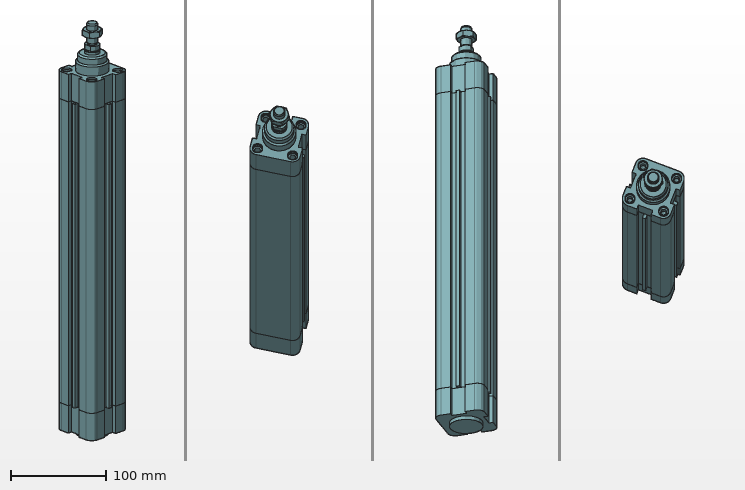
import cadquery as cq
import math

TOTAL_HEIGHT = 463.0
REAR_SPIGOT_HEIGHT = 4.0
REAR_COVER_TOP = 35.0
TUBE_TOP = 378.5
FRONT_COVER_TOP = 409.5

SECTION_WIDTH = 54.0
CORNER_RADIUS = 8.5
SLOT_WIDTH = 16.0
SLOT_DEPTH = 4.5
RIB_WIDTH = 3.5
SLOT_ANGLES = (-90, 0, 180)

SCREW_SPACING = 38.0
RECESS_DIAMETER = 10.5
RECESS_DEPTH = 2.0
RECESS_FLOOR_DIAMETER = 9.5
RECESS_FLOOR_DEPTH = 4.5
SCREW_HOLE_DIAMETER = 6.0
SCREW_HOLE_DEPTH = 14.0
DRILL_TIP_ANGLE = 118

COLLAR_DIAMETER = 35.0
COLLAR_STEP_DIAMETER = 31.0
COLLAR_STEP_Z = 419.5
COLLAR_CONE_HEIGHT = 1.5
COLLAR_TOP = 429.0
COLLAR_CHAMFER = 2.0

ROD_DIAMETER = 16.0
GROOVE_DIAMETER = 15.5
GROOVE_WIDTH = 1.5
ROD_SHOULDER_Z = 439.0
FLAT_BOTTOM_Z = 433.5
FLAT_WIDTH = 13.5
THREAD_DIAMETER = 12.0
NECK_DIAMETER = 10.0
NECK_LENGTH = 2.0
THREAD_CHAMFER = 1.0
THREAD_CHAMFER_HEIGHT = 2.0

NUT_BOTTOM = 448.5
NUT_HEIGHT = 7.0
NUT_ACROSS_FLATS = 19.0
NUT_ACROSS_CORNERS = NUT_ACROSS_FLATS * 2 / math.sqrt(3)
NUT_FACE_DIAMETER = NUT_ACROSS_FLATS
NUT_CHAMFER_ANGLE = 30


def cylinder(diameter, bottom, top):
    return cq.Workplane("XY").workplane(offset=bottom).circle(diameter / 2).extrude(top - bottom)


def revolved(profile):
    """Solid turned about Z from a closed outline of (radius, height) points."""
    return cq.Workplane("XZ").polyline(profile).close().revolve(360, (0, 0, 0), (0, 1, 0))


def bar_at_side(bottom, top, width, depth):
    """Upright bar lying just inside the +X side of the section."""
    return (
        cq.Workplane("XY")
        .workplane(offset=bottom)
        .center((SECTION_WIDTH - depth) / 2, 0)
        .rect(depth, width)
        .extrude(top - bottom)
    )


def turned(body, angle):
    return body.rotate((0, 0, 0), (0, 0, 1), angle)


def slotted_block(bottom, top):
    """Rounded square block with a full-length slot on three sides."""
    block = (
        cq.Workplane("XY")
        .workplane(offset=bottom)
        .rect(SECTION_WIDTH, SECTION_WIDTH)
        .extrude(top - bottom)
        .edges("|Z")
        .fillet(CORNER_RADIUS)
    )
    slot = bar_at_side(bottom, top, SLOT_WIDTH, SLOT_DEPTH)
    for angle in SLOT_ANGLES:
        block = block.cut(turned(slot, angle))
    return block


def make_tube():
    """Slotted profile with a rib along the middle of each slot."""
    tube = slotted_block(REAR_COVER_TOP, TUBE_TOP)
    rib = bar_at_side(REAR_COVER_TOP, TUBE_TOP, RIB_WIDTH, SLOT_DEPTH)
    for angle in SLOT_ANGLES:
        tube = tube.union(turned(rib, angle))
    return tube


def make_rear_cover():
    """Slotted block with a round spigot underneath."""
    return slotted_block(REAR_SPIGOT_HEIGHT, REAR_COVER_TOP).union(
        cylinder(COLLAR_DIAMETER, 0, REAR_SPIGOT_HEIGHT)
    )


def make_screw_recess():
    """Stepped recess and drilled hole with a conical tip, centred on Z."""
    hole_radius = SCREW_HOLE_DIAMETER / 2
    tip_length = hole_radius / math.tan(math.radians(DRILL_TIP_ANGLE / 2))
    hole_bottom = FRONT_COVER_TOP - SCREW_HOLE_DEPTH
    tip = revolved([
        (0, hole_bottom - tip_length),
        (hole_radius, hole_bottom),
        (0, hole_bottom),
    ])
    hole = cylinder(SCREW_HOLE_DIAMETER, hole_bottom, FRONT_COVER_TOP)
    floor = cylinder(RECESS_FLOOR_DIAMETER, FRONT_COVER_TOP - RECESS_FLOOR_DEPTH, FRONT_COVER_TOP)
    recess = cylinder(RECESS_DIAMETER, FRONT_COVER_TOP - RECESS_DEPTH, FRONT_COVER_TOP)
    return tip.union(hole).union(floor).union(recess)


def make_collar():
    """Two-step collar with a cone between the steps and a chamfered top edge."""
    radius = COLLAR_DIAMETER / 2
    step_radius = COLLAR_STEP_DIAMETER / 2
    return revolved([
        (0, FRONT_COVER_TOP),
        (radius, FRONT_COVER_TOP),
        (radius, COLLAR_STEP_Z),
        (step_radius, COLLAR_STEP_Z + COLLAR_CONE_HEIGHT),
        (step_radius, COLLAR_TOP - COLLAR_CHAMFER),
        (step_radius - COLLAR_CHAMFER, COLLAR_TOP),
        (0, COLLAR_TOP),
    ])


def make_front_cover():
    """Slotted block with a collar, four corner screw recesses and a rod bore."""
    cover = slotted_block(TUBE_TOP, FRONT_COVER_TOP).union(make_collar())
    recess = make_screw_recess()
    for x_side in (-1, 1):
        for y_side in (-1, 1):
            place = (x_side * SCREW_SPACING / 2, y_side * SCREW_SPACING / 2, 0)
            cover = cover.cut(recess.translate(place))
    return cover.cut(cylinder(ROD_DIAMETER, TUBE_TOP, COLLAR_TOP))


def make_rod():
    """Rod with a groove, two wrench flats, an undercut neck and a threaded end."""
    thread_bottom = ROD_SHOULDER_Z + NECK_LENGTH
    rod_radius = ROD_DIAMETER / 2
    groove_radius = GROOVE_DIAMETER / 2
    groove_bottom = FLAT_BOTTOM_Z - GROOVE_WIDTH
    neck_radius = NECK_DIAMETER / 2
    thread_radius = THREAD_DIAMETER / 2
    rod = revolved([
        (0, TUBE_TOP),
        (rod_radius, TUBE_TOP),
        (rod_radius, groove_bottom),
        (groove_radius, groove_bottom),
        (groove_radius, FLAT_BOTTOM_Z),
        (rod_radius, FLAT_BOTTOM_Z),
        (rod_radius, ROD_SHOULDER_Z),
        (neck_radius, ROD_SHOULDER_Z),
        (neck_radius, thread_bottom),
        (thread_radius, thread_bottom),
        (thread_radius, TOTAL_HEIGHT - THREAD_CHAMFER_HEIGHT),
        (thread_radius - THREAD_CHAMFER, TOTAL_HEIGHT),
        (0, TOTAL_HEIGHT),
    ])
    flatted_length = ROD_SHOULDER_Z - FLAT_BOTTOM_Z
    flat_cutter = (
        cq.Workplane("XY")
        .workplane(offset=FLAT_BOTTOM_Z)
        .center(0, (FLAT_WIDTH + ROD_DIAMETER) / 2)
        .rect(ROD_DIAMETER, ROD_DIAMETER)
        .extrude(flatted_length)
    )
    for angle in (0, 180):
        rod = rod.cut(turned(flat_cutter, angle))
    return rod


def make_nut():
    """Hexagon nut with its corners chamfered at both faces."""
    hexagon = (
        cq.Workplane("XY")
        .workplane(offset=NUT_BOTTOM)
        .polygon(6, NUT_ACROSS_CORNERS)
        .extrude(NUT_HEIGHT)
    )
    corner = NUT_ACROSS_CORNERS / 2
    rim = NUT_FACE_DIAMETER / 2
    drop = (corner - rim) * math.tan(math.radians(NUT_CHAMFER_ANGLE))
    top = NUT_BOTTOM + NUT_HEIGHT
    envelope = revolved([
        (0, NUT_BOTTOM),
        (rim, NUT_BOTTOM),
        (corner, NUT_BOTTOM + drop),
        (corner, top - drop),
        (rim, top),
        (0, top),
    ])
    return hexagon.intersect(envelope).cut(cylinder(THREAD_DIAMETER, NUT_BOTTOM, top))


rear_cover = make_rear_cover()
tube = make_tube()
front_cover = make_front_cover()
rod = make_rod()
nut = make_nut()

result = cq.Compound.makeCompound([
    rear_cover.val(),
    tube.val(),
    front_cover.val(),
    rod.val(),
    nut.val(),
])